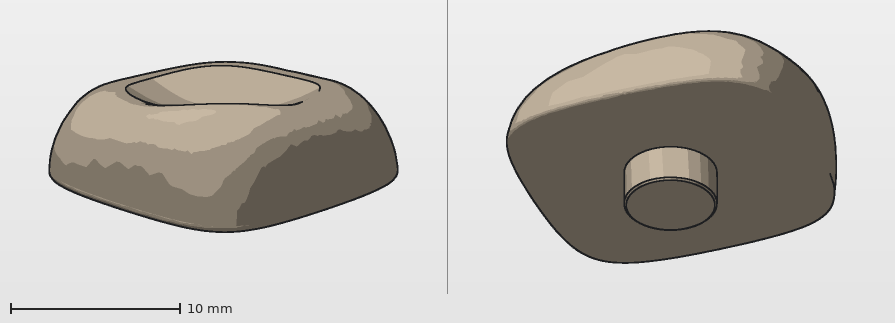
import cadquery as cq
import math

BASE_HALF_WIDTH = 8.75
BASE_CORNER = 7.3
BASE_HEIGHT = 0.46
BASE_ROUND = 0.35

STEM_DIAMETER = 5.5
STEM_LENGTH = 2.31
STEM_CHAMFER = 0.12
STEM_OVERLAP = 0.35

DISH_X = -0.71
DISH_Y = 0.71
DISH_FLOOR = 3.98
DISH_RADIUS = 11.75

CORE_RADIUS = 3.55
CORE_HEIGHT = 5.78
CORE_SLOPE = 0.2
EDGE_LIFT = 0.05

RIB_COUNT = 32
RIB_STEPS = 18


def dish_height(x, y):
    """Height of the spherical dish above the point (x, y)."""
    reach = math.hypot(x - DISH_X, y - DISH_Y)
    return DISH_FLOOR + DISH_RADIUS - math.sqrt(DISH_RADIUS**2 - reach**2)


def point_on_loop(points, turn):
    """Point at a fraction of a turn on the smooth closed curve through evenly spaced points."""
    count = len(points)
    half = count // 2
    place = cq.Vector(0, 0, 0)
    for i, point in enumerate(points):
        gap = 2 * math.pi * (turn - i / count)
        waves = 1 + 2 * sum(math.cos(k * gap) for k in range(1, half)) + math.cos(half * gap)
        place += cq.Vector(*point) * (waves / count)
    return place


base_loop = [
    (-BASE_HALF_WIDTH, 0, BASE_HEIGHT),
    (-BASE_CORNER, -BASE_CORNER, BASE_HEIGHT),
    (0, -BASE_HALF_WIDTH, BASE_HEIGHT),
    (BASE_CORNER, -BASE_CORNER, BASE_HEIGHT),
    (BASE_HALF_WIDTH, 0, BASE_HEIGHT),
    (BASE_CORNER, BASE_CORNER, BASE_HEIGHT),
    (0, BASE_HALF_WIDTH, BASE_HEIGHT),
    (-BASE_CORNER, BASE_CORNER, BASE_HEIGHT),
]

wall_loop = [
    (-8.4, 0, 2.67),
    (-6.97, -6.97, 2.67),
    (0, -9.02, 3.2),
    (7.2, -7.2, 3.55),
    (8.73, 0, 3.2),
    (6.94, 6.85, 2.67),
    (0, 8.4, 2.67),
    (-6.76, 6.76, 2.49),
]

shoulder_loop = [
    (-7.56, 0, 4.27),
    (-5.16, -5.7, 5.34),
    (0, -8.36, 5.34),
    (5.96, -5.96, 6.67),
    (8.27, 0, 5.34),
    (5.34, 5.16, 5.34),
    (0, 7.65, 4.27),
    (-4.98, 5.34, 4.6),
]

crest_loop = [
    (-6.4, 0, 4.8),
    (-4.54, -4.9, 5.62),
    (0, -7.12, 6.15),
    (5.25, -5.16, 7.08),
    (6.94, 0, 6.14),
    (4.63, 4.63, 5.62),
    (0, 6.4, 4.8),
    (-4.45, 4.63, 4.9),
]

dish_edge = [
    (-5.25, 0),
    (-3.91, -4.1),
    (0, -5.45),
    (4.45, -4.27),
    (5.32, 0),
    (3.82, 4.0),
    (0, 5.25),
    (-3.91, 3.91),
]


def core_point(angle):
    """Point on the tilted flat ring where the skin ends, above the dish floor."""
    along_x = CORE_RADIUS * math.cos(angle)
    along_y = CORE_RADIUS * math.sin(angle)
    height = CORE_HEIGHT + CORE_SLOPE * (along_x - along_y)
    return (DISH_X + along_x, DISH_Y + along_y, height)


core_loop = [core_point(math.radians(180 + 45 * i)) for i in range(8)]


def smooth_outline(points):
    """Closed smooth wire through the points."""
    edge = cq.Edge.makeSpline(points, periodic=True)
    return cq.Wire.assembleEdges([edge])


def make_rib(turn):
    """Points along a curve from the base, up the wall and over the lip to the core."""
    outer_loops = [base_loop, wall_loop, shoulder_loop, crest_loop]
    points = [point_on_loop(loop, turn) for loop in outer_loops]
    plan = point_on_loop(dish_edge, turn)
    points.append(cq.Vector(plan.x, plan.y, dish_height(plan.x, plan.y) + EDGE_LIFT))
    points.append(point_on_loop(core_loop, turn))
    rib = cq.Edge.makeSpline(points)
    return rib.positions([k / RIB_STEPS for k in range(RIB_STEPS + 1)])


def make_cap():
    """Sculpted cap with a rounded base edge and a spherical finger dish."""
    ribs = [make_rib(i / RIB_COUNT) for i in range(RIB_COUNT)]
    outlines = [smooth_outline(list(ring)) for ring in zip(*ribs)]
    body = cq.Workplane(obj=cq.Solid.makeLoft(outlines))

    foot = cq.Solid.extrudeLinear(outlines[0], [], cq.Vector(0, 0, -BASE_HEIGHT))
    foot = cq.Workplane(obj=foot).faces("<Z").edges().fillet(BASE_ROUND)

    ball_centre = (DISH_X, DISH_Y, DISH_FLOOR + DISH_RADIUS)
    ball = cq.Workplane().sphere(DISH_RADIUS).translate(ball_centre)
    return body.union(foot).cut(ball)


def make_stem():
    """Round stem under the cap, chamfered at its free end."""
    stem = cq.Workplane().workplane(offset=-STEM_LENGTH).circle(STEM_DIAMETER / 2)
    stem = stem.extrude(STEM_LENGTH + STEM_OVERLAP)
    return stem.faces("<Z").edges().chamfer(STEM_CHAMFER)


result = make_cap().union(make_stem())